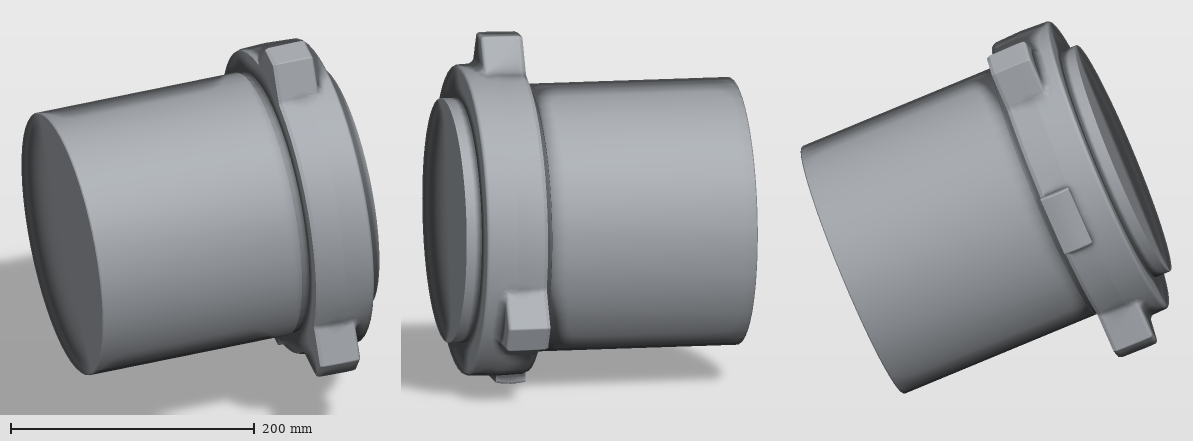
import cadquery as cq
import math


body_radius = 110.0
body_front = -178.2
body_edge_chamfer = 1.0
neck_radius = 108.8
neck_length = 6.5
ring_radius = 100.5
ring_back = 63.0

collar_thickness = 50.5
collar_radius = 128.7
collar_front_radius = 127.8
collar_back_radius = 127.5
parting_y = 24.8
collar_back_fillet = 3.0

lug_count = 3
lug_depth = 34.8
lug_tip_height = 154.3
lug_tip_half_width = 11.5
lug_flank_angle = 30.0
lug_draft = 1.0
lug_root_height = 103.5
lug_tip_fillet = 1.7
lug_back_fillet = 3.0
lug_root_fillet = 5.8

rim_bevel_length = 3.0
rim_bevel_width = 1.2

tab_half_width = 25.5
tab_inner_height = 115.2
tab_edge_height = 132.0
tab_crown_height = 133.5
tab_side_fillet = 1.7

tolerance = 0.3


def cylinder(radius, start, end):
    """Cylinder on the part axis between two Y positions, start < end."""
    return cq.Workplane("XZ", origin=(0, start, 0)).circle(radius).extrude(start - end)


def make_collar():
    """Revolved collar disc with a bevelled front rim and a rounded rear edge."""
    profile = (
        cq.Workplane("XY")
        .lineTo(collar_front_radius - rim_bevel_width, 0)
        .lineTo(collar_front_radius, rim_bevel_length)
        .lineTo(collar_radius, parting_y)
        .lineTo(collar_back_radius, collar_thickness)
        .lineTo(0, collar_thickness)
        .close()
    )
    collar = profile.revolve(360, (0, 0, 0), (0, 1, 0))
    return collar.faces(">Y").edges().fillet(collar_back_fillet)


def lug_outline():
    """Trapezoid of a lug, with rounded tip corners, on the parting plane."""
    flare = (lug_tip_height - lug_root_height) * math.tan(math.radians(lug_flank_angle))
    root_half_width = lug_tip_half_width + flare
    corners = [
        (-root_half_width, lug_root_height),
        (-lug_tip_half_width, lug_tip_height),
        (lug_tip_half_width, lug_tip_height),
        (root_half_width, lug_root_height),
    ]
    sketch = cq.Sketch().polygon(corners + corners[:1]).vertices(">Y").fillet(lug_tip_fillet)
    return cq.Workplane("XZ", origin=(0, parting_y, 0)).placeSketch(sketch)


def make_lug():
    """Drafted lug pointing along +Z, starting inside the collar."""
    back_half = lug_outline().extrude(parting_y - lug_depth, taper=lug_draft)
    front_half = lug_outline().extrude(parting_y - rim_bevel_length, taper=lug_draft)
    bevel_angle = math.degrees(math.atan(rim_bevel_width / rim_bevel_length))
    front_wire = front_half.faces("<Y").wires().toPending()
    lug = front_wire.extrude(rim_bevel_length, taper=bevel_angle).union(back_half)
    return lug.faces(">Y").edges("not(<Z)").fillet(lug_back_fillet)


def is_root_edge(edge):
    """True for the edges where a lug rises from the collar skin."""
    middle = edge.positionAt(0.5)
    radius = math.hypot(middle.x, middle.z)
    on_skin = collar_front_radius - rim_bevel_width < radius < collar_radius + tolerance
    within_lug = tolerance < middle.y < lug_depth + tolerance
    collar_rings = (rim_bevel_length, parting_y)
    on_ring = any(abs(middle.y - ring_y) < tolerance for ring_y in collar_rings)
    is_seam = edge.geomType() == "LINE"
    return on_skin and within_lug and not on_ring and not is_seam


def make_clamp():
    """Collar with its lugs blended in."""
    clamp = make_collar()
    lug = make_lug()
    for index in range(lug_count):
        clamp = clamp.union(lug.rotate((0, 0, 0), (0, 1, 0), index * 360 / lug_count))
    return clamp.edges().filter(is_root_edge).fillet(lug_root_fillet)


def make_tab():
    """Tab below the front half of the collar, its underside arched along Y, with rounded sides."""
    profile = (
        cq.Workplane("YZ")
        .moveTo(0, -tab_inner_height)
        .lineTo(0, -tab_edge_height)
        .threePointArc((parting_y / 2, -tab_crown_height), (parting_y, -tab_edge_height))
        .lineTo(parting_y, -tab_inner_height)
        .close()
    )
    tab = profile.extrude(tab_half_width, both=True)
    return tab.edges("%CIRCLE").fillet(tab_side_fillet)


body = cylinder(body_radius, body_front, -neck_length)
body = body.faces("<Y").edges().chamfer(body_edge_chamfer)
neck = cylinder(neck_radius, -neck_length, 0)
ring = cylinder(ring_radius, collar_thickness, ring_back)

result = make_clamp().union(make_tab()).union(neck).union(body).union(ring)